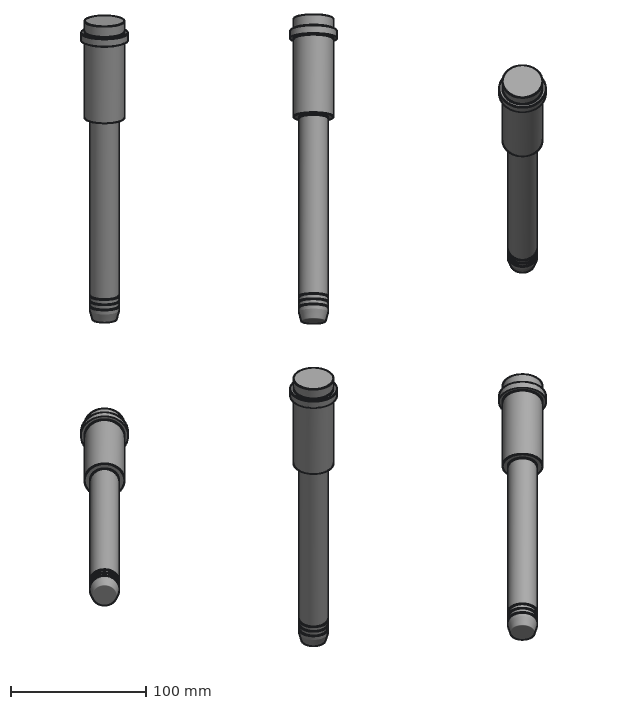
import cadquery as cq
import math

total_length = 230.0

pin_radius = 11.0
lead_in_length = 7.0
lead_in_angle = 15.0
tip_fillet = 0.5

head_radius = 15.0
head_length = 75.0
head_chamfer = 0.5

collar_radius = 17.5
collar_thickness = 6.0
collar_offset = 9.0
collar_chamfer = 0.5

groove_width = 1.0
groove_floor_width = 0.4
groove_depth = 0.5

groove_count = 3
groove_pitch = 4.0
first_groove_height = 10.5

head_bottom = total_length - head_length
collar_top = total_length - collar_offset
collar_bottom = collar_top - collar_thickness
tip_radius = pin_radius - lead_in_length * math.tan(math.radians(lead_in_angle))


def cylinder(radius, bottom, height):
    return cq.Workplane("XY").workplane(offset=bottom).circle(radius).extrude(height)


def revolve_about_z(profile):
    """Solid of revolution from (radius, height) points."""
    return cq.Workplane("XZ").polyline(profile).close().revolve(360, (0, 0, 0), (0, 1, 0))


def groove_cutter(shaft_radius, center):
    """Ring that cuts one groove into a shaft, centred at the given height."""
    floor_radius = shaft_radius - groove_depth
    outer_radius = shaft_radius + groove_depth
    half_width = groove_width / 2
    half_floor = groove_floor_width / 2
    return revolve_about_z([
        (floor_radius, center - half_floor),
        (shaft_radius, center - half_width),
        (outer_radius, center - half_width),
        (outer_radius, center + half_width),
        (shaft_radius, center + half_width),
        (floor_radius, center + half_floor),
    ])


def make_pin():
    """Shaft with a rounded, tapered tip, three grooves and an undercut below the head."""
    pin = revolve_about_z([
        (0, 0),
        (tip_radius, 0),
        (pin_radius, lead_in_length),
        (pin_radius, head_bottom),
        (0, head_bottom),
    ])
    pin = pin.faces("<Z").edges().fillet(tip_fillet)
    for index in range(groove_count):
        pin = pin.cut(groove_cutter(pin_radius, first_groove_height + index * groove_pitch))
    return pin.cut(groove_cutter(pin_radius, head_bottom - groove_width / 2))


def make_head():
    """Head chamfered at both ends, with an undercut on each side of the collar."""
    head = cylinder(head_radius, head_bottom, head_length)
    head = head.faces("<Z or >Z").edges().chamfer(head_chamfer)
    for center in (collar_top + groove_width / 2, collar_bottom - groove_width / 2):
        head = head.cut(groove_cutter(head_radius, center))
    return head


def make_collar():
    """Collar chamfered on its upper rim."""
    collar = cylinder(collar_radius, collar_bottom, collar_thickness)
    return collar.faces(">Z").edges().chamfer(collar_chamfer)


result = make_pin().union(make_head()).union(make_collar())